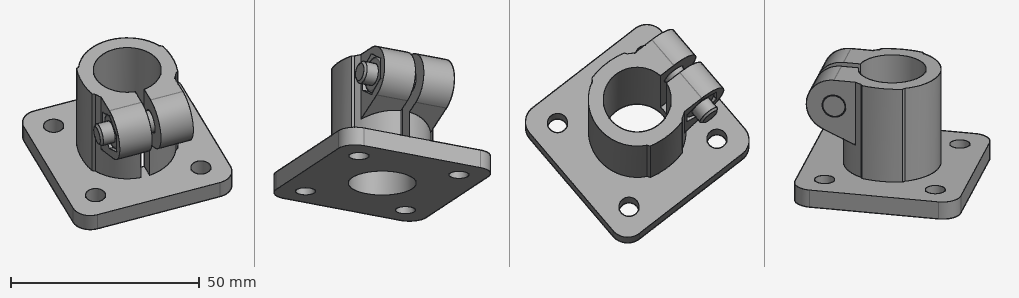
import cadquery as cq
import math

PLATE_SIDE = 45.0
PLATE_THICKNESS = 5.0
PLATE_CORNER_RADIUS = 5.0
BOLT_HOLE_DIAMETER = 5.3
BOLT_HOLE_PITCH = 30.0

TOTAL_HEIGHT = 32.0
TUBE_RADIUS = 12.95
BORE_DIAMETER = 18.0
TUBE_HEIGHT = TOTAL_HEIGHT - PLATE_THICKNESS

PAD_CORNER_X = 5.5
PAD_CORNER_Y = 12.25
PAD_FOOT_X = 6.0
PAD_FOOT_Y = math.sqrt(TUBE_RADIUS**2 - PAD_FOOT_X**2)

EAR_HALF_WIDTH = 10.5
EAR_RADIUS = 7.5
EAR_UNDERSIDE_ANGLE = math.radians(23.7)
SLOT_WIDTH = 2.5
SCREW_X = 13.5
SCREW_Z = TOTAL_HEIGHT - EAR_RADIUS

SCREW_DIAMETER = 6.0
SCREW_CHAMFER = 0.65
SCREW_TIP_Y = -14.0
CLEARANCE_DIAMETER = 6.4
POCKET_ACROSS_FLATS = 10.0
NUT_RECESS = 0.5
NUT_HEX_HEIGHT = 4.0
NUT_CHAMFER_DIAMETER = 9.9
NUT_CHAMFER_ANGLE = math.radians(15)
COLLAR_DIAMETER = 9.6
COLLAR_HEIGHT = 1.5
COLLAR_FILLET = 0.5
POCKET_CORNER_DIAMETER = POCKET_ACROSS_FLATS / math.cos(math.pi / 6)
POCKET_DEPTH = NUT_RECESS + COLLAR_HEIGHT + NUT_HEX_HEIGHT



def make_plate():
    plate = cq.Workplane("XY").rect(PLATE_SIDE, PLATE_SIDE).extrude(PLATE_THICKNESS)
    plate = plate.edges("|Z").fillet(PLATE_CORNER_RADIUS)
    holes = (
        cq.Workplane("XY")
        .rect(BOLT_HOLE_PITCH, BOLT_HOLE_PITCH, forConstruction=True)
        .vertices()
        .circle(BOLT_HOLE_DIAMETER / 2)
        .extrude(PLATE_THICKNESS)
    )
    return plate.cut(holes)


def make_pad(side):
    """Shallow arched pad along the tube; side is -1 for -Y and +1 for +Y."""
    return (
        cq.Workplane("XY", origin=(0, 0, PLATE_THICKNESS))
        .moveTo(-PAD_FOOT_X, 0)
        .lineTo(-PAD_FOOT_X, side * PAD_FOOT_Y)
        .lineTo(-PAD_CORNER_X, side * PAD_CORNER_Y)
        .threePointArc((0, side * TUBE_RADIUS), (PAD_CORNER_X, side * PAD_CORNER_Y))
        .lineTo(PAD_FOOT_X, side * PAD_FOOT_Y)
        .lineTo(PAD_FOOT_X, 0)
        .close()
        .extrude(TUBE_HEIGHT)
    )


def make_tube():
    tube = cq.Workplane("XY", origin=(0, 0, PLATE_THICKNESS)).circle(TUBE_RADIUS).extrude(TUBE_HEIGHT)
    for side in (-1, 1):
        tube = tube.union(make_pad(side))
    return tube


def make_ears():
    """Ear block with a round nose and a sloping underside tangent to it."""
    tangent_x = SCREW_X + EAR_RADIUS * math.sin(EAR_UNDERSIDE_ANGLE)
    tangent_z = SCREW_Z - EAR_RADIUS * math.cos(EAR_UNDERSIDE_ANGLE)
    underside_z = tangent_z - tangent_x * math.tan(EAR_UNDERSIDE_ANGLE)
    return (
        cq.Workplane("XZ")
        .moveTo(0, TOTAL_HEIGHT)
        .lineTo(SCREW_X, TOTAL_HEIGHT)
        .threePointArc((SCREW_X + EAR_RADIUS, SCREW_Z), (tangent_x, tangent_z))
        .lineTo(0, underside_z)
        .close()
        .extrude(EAR_HALF_WIDTH, both=True)
    )


def make_bore():
    return cq.Workplane("XY").circle(BORE_DIAMETER / 2).extrude(TOTAL_HEIGHT)


def make_slot():
    return cq.Workplane("XY", origin=(0, 0, PLATE_THICKNESS)).box(
        SCREW_X + EAR_RADIUS, SLOT_WIDTH, TUBE_HEIGHT, centered=(False, True, False)
    )


def screw_plane(y):
    """Plane across the screw axis at the given Y, facing -Y."""
    return cq.Workplane("XZ", origin=(SCREW_X, y, SCREW_Z))


def pocket_hexagon(y, length):
    """Hexagonal prism with flats facing -X and +X, running towards -Y from the given Y."""
    hexagon = screw_plane(y).transformed(rotate=(0, 0, 90)).polygon(6, POCKET_CORNER_DIAMETER)
    return hexagon.extrude(length)


def make_screw_cuts():
    clearance = screw_plane(EAR_HALF_WIDTH).circle(CLEARANCE_DIAMETER / 2).extrude(2 * EAR_HALF_WIDTH)
    pocket = pocket_hexagon(POCKET_DEPTH - EAR_HALF_WIDTH, POCKET_DEPTH)
    return clearance.union(pocket)


def make_screw():
    return (
        screw_plane(EAR_HALF_WIDTH)
        .circle(SCREW_DIAMETER / 2)
        .extrude(EAR_HALF_WIDTH - SCREW_TIP_Y)
        .faces("<Y")
        .chamfer(SCREW_CHAMFER)
    )


def make_nut():
    """Lock nut: hexagon with conically chamfered corners and a round-edged collar."""
    base_y = POCKET_DEPTH - EAR_HALF_WIDTH
    corner_radius = POCKET_CORNER_DIAMETER / 2
    chamfer_radius = NUT_CHAMFER_DIAMETER / 2
    chamfer_depth = (corner_radius - chamfer_radius) * math.tan(NUT_CHAMFER_ANGLE)
    chamfer_envelope = (
        screw_plane(base_y)
        .circle(corner_radius)
        .extrude(NUT_HEX_HEIGHT)
        .faces("<Y")
        .edges()
        .chamfer(chamfer_depth, corner_radius - chamfer_radius)
    )
    hexagon = pocket_hexagon(base_y, NUT_HEX_HEIGHT).intersect(chamfer_envelope)
    collar = (
        screw_plane(base_y)
        .circle(COLLAR_DIAMETER / 2)
        .extrude(NUT_HEX_HEIGHT + COLLAR_HEIGHT)
        .faces("<Y")
        .edges()
        .fillet(COLLAR_FILLET)
    )
    return hexagon.union(collar)


body = make_plate().union(make_tube()).union(make_ears())
body = body.cut(make_bore()).cut(make_slot()).cut(make_screw_cuts())
result = body.union(make_nut()).union(make_screw())